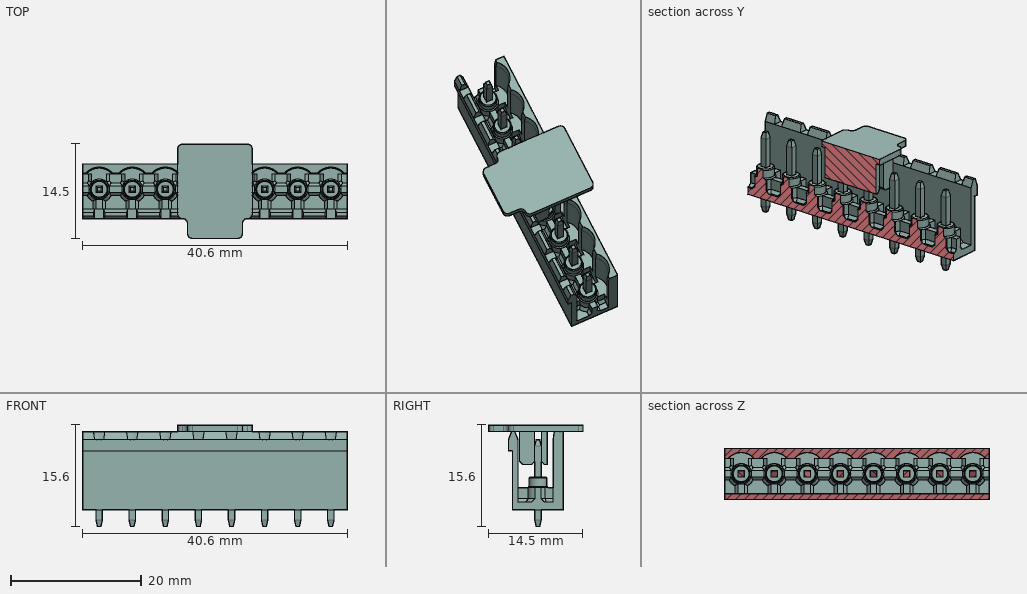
import cadquery as cq


PIN_COUNT = 8
LENGTH = 40.65
PITCH = LENGTH / PIN_COUNT
PIN_XS = [(i - (PIN_COUNT - 1) / 2) * PITCH for i in range(PIN_COUNT)]

PIN_WIDTH = 1.0
PIN_TIP_WIDTH = 0.55
PIN_TAPER = 0.98
PIN_BOTTOM = -2.55
PIN_TOP = 10.75

HEIGHT = 12.0
BACK_Y = 3.9
BACK_INNER_Y = 2.3
FRONT_INNER_Y = -3.05
FRONT_Y = -3.95
FLOOR_Z = 1.2
LEDGE_Y = -4.55
LEDGE_BOTTOM = 9.05
LEAD_IN_HEIGHT = 1.2
LEAD_IN_Z = HEIGHT - LEAD_IN_HEIGHT
BACK_LEAD_IN = 0.15
FRONT_LEAD_IN = 0.5
LEDGE_CHAMFER = 0.5

SCALLOP_Y = 0.65
SCALLOP_RADIUS = 2.6
NOTCH_BOTTOM_WIDTH = 1.4
NOTCH_TOP_WIDTH = 1.75

RIB_TOP = 3.4
RIB_WIDTH = 0.98
BACK_BLOCK_WIDTH = 2.28
FOOT_CHAMFER = 0.5
BOSS_RADIUS = 1.6
COLLAR_RADIUS = 1.4
COLLAR_TOP = 5.05
COLLAR_CHAMFER = 0.15
COLLAR_FLARE = BOSS_RADIUS - COLLAR_RADIUS

PLATE_THICKNESS = 1.0
PLATE_WIDTH = 11.45
PLATE_BACK_Y = 6.95
PLATE_SHOULDER_Y = -4.5
TONGUE_FRONT_Y = -7.55
TONGUE_WIDTH = 8.45
PLATE_RADIUS = (PLATE_WIDTH - TONGUE_WIDTH) / 4
LEG_LENGTH = 2 * PITCH
LEG_DEPTH = 5.05
LEG_CHAMFER = 0.5
LEG_GAP = PIN_WIDTH
REAR_LEG_Y = 1.45
FRONT_LEG_Y = -2.85


def trough():
    """U-shaped housing section with lead-ins along both top edges and a ledge along the front."""
    section = [
        (BACK_Y, 0),
        (BACK_Y, HEIGHT),
        (BACK_INNER_Y + BACK_LEAD_IN, HEIGHT),
        (BACK_INNER_Y, LEAD_IN_Z),
        (BACK_INNER_Y, FLOOR_Z),
        (FRONT_INNER_Y, FLOOR_Z),
        (FRONT_INNER_Y, LEAD_IN_Z),
        (FRONT_INNER_Y - FRONT_LEAD_IN, HEIGHT),
        (LEDGE_Y + LEDGE_CHAMFER, HEIGHT),
        (LEDGE_Y, LEAD_IN_Z),
        (LEDGE_Y, LEDGE_BOTTOM),
        (FRONT_Y, LEDGE_BOTTOM),
        (FRONT_Y, 0),
    ]
    return cq.Workplane("YZ").polyline(section).close().extrude(LENGTH / 2, both=True)


def revolved(profile, x, y):
    """Solid of revolution about an upright axis at (x, y), from (radius, height) points."""
    solid = cq.Workplane("XZ").polyline(profile).close().revolve(360, (0, 0), (0, 1))
    return solid.translate((x, y, 0))


def scallop(x):
    """Cutter for the round pocket in the back wall, widening at the lead-in."""
    profile = [
        (0, RIB_TOP),
        (SCALLOP_RADIUS, RIB_TOP),
        (SCALLOP_RADIUS, LEAD_IN_Z),
        (SCALLOP_RADIUS + BACK_LEAD_IN, HEIGHT),
        (0, HEIGHT),
    ]
    return revolved(profile, x, SCALLOP_Y)


def notch(x):
    """Cutter for the notch through the top of the front wall, wider at its top."""
    section = [
        (x - NOTCH_BOTTOM_WIDTH / 2, LEAD_IN_Z),
        (x + NOTCH_BOTTOM_WIDTH / 2, LEAD_IN_Z),
        (x + NOTCH_TOP_WIDTH / 2, HEIGHT),
        (x - NOTCH_TOP_WIDTH / 2, HEIGHT),
    ]
    return cq.Workplane("XZ").polyline(section).close().extrude(-LEDGE_Y)


def rib_section(plane, width):
    """Upright rib section whose foot widens onto the floor."""
    half = width / 2
    section = [
        (-half - FOOT_CHAMFER, FLOOR_Z),
        (-half, FLOOR_Z + FOOT_CHAMFER),
        (-half, RIB_TOP),
        (half, RIB_TOP),
        (half, FLOOR_Z + FOOT_CHAMFER),
        (half + FOOT_CHAMFER, FLOOR_Z),
    ]
    return cq.Workplane(plane).polyline(section).close()


def boss(x):
    """Round boss and collar around a pin, with a flared foot."""
    profile = [
        (0, FLOOR_Z),
        (BOSS_RADIUS + FOOT_CHAMFER, FLOOR_Z),
        (BOSS_RADIUS, FLOOR_Z + FOOT_CHAMFER),
        (BOSS_RADIUS, RIB_TOP),
        (COLLAR_RADIUS, RIB_TOP + COLLAR_FLARE),
        (COLLAR_RADIUS, COLLAR_TOP - COLLAR_CHAMFER),
        (COLLAR_RADIUS - COLLAR_CHAMFER, COLLAR_TOP),
        (0, COLLAR_TOP),
    ]
    return revolved(profile, x, 0)


def make_housing():
    body = trough()
    for x in PIN_XS:
        body = body.cut(scallop(x)).cut(notch(x))

    body = body.union(rib_section("YZ", RIB_WIDTH).extrude(LENGTH / 2, both=True))
    front_rib = rib_section("XZ", RIB_WIDTH).extrude(-FRONT_INNER_Y)
    back_block = rib_section("XZ", BACK_BLOCK_WIDTH).extrude(-BACK_INNER_Y)
    for x in PIN_XS:
        body = body.union(front_rib.translate((x, 0, 0)))
        body = body.union(back_block.translate((x, 0, 0)))
        body = body.union(boss(x))

    pin_places = cq.Workplane("XY").pushPoints([(x, 0) for x in PIN_XS])
    return body.cut(pin_places.rect(PIN_WIDTH, PIN_WIDTH).extrude(COLLAR_TOP))


def pin_section(x, bottom_z, bottom_width, top_z, top_width):
    """Length of square pin that changes evenly from one width to another."""
    bottom = cq.Workplane("XY", origin=(x, 0, bottom_z)).rect(bottom_width, bottom_width)
    return bottom.workplane(offset=top_z - bottom_z).rect(top_width, top_width).loft(ruled=True)


def make_pin(x):
    """Square pin with a tapered tip at each end."""
    shank_bottom = PIN_BOTTOM + PIN_TAPER
    shank_top = PIN_TOP - PIN_TAPER
    bottom_tip = pin_section(x, PIN_BOTTOM, PIN_TIP_WIDTH, shank_bottom, PIN_WIDTH)
    shank = pin_section(x, shank_bottom, PIN_WIDTH, shank_top, PIN_WIDTH)
    top_tip = pin_section(x, shank_top, PIN_WIDTH, PIN_TOP, PIN_TIP_WIDTH)
    return shank.union(bottom_tip).union(top_tip)


def plate_outline():
    """Plate outline with rounded corners and S-shaped shoulders down to the narrower tongue."""
    r = PLATE_RADIUS
    plate_x = PLATE_WIDTH / 2
    tongue_x = TONGUE_WIDTH / 2
    return (
        cq.Workplane("XY", origin=(0, 0, HEIGHT))
        .moveTo(plate_x - r, PLATE_BACK_Y)
        .radiusArc((plate_x, PLATE_BACK_Y - r), r)
        .lineTo(plate_x, PLATE_SHOULDER_Y + r)
        .radiusArc((plate_x - r, PLATE_SHOULDER_Y), r)
        .radiusArc((tongue_x, PLATE_SHOULDER_Y - r), -r)
        .lineTo(tongue_x, TONGUE_FRONT_Y + r)
        .radiusArc((tongue_x - r, TONGUE_FRONT_Y), r)
        .lineTo(r - tongue_x, TONGUE_FRONT_Y)
        .radiusArc((-tongue_x, TONGUE_FRONT_Y + r), r)
        .lineTo(-tongue_x, PLATE_SHOULDER_Y - r)
        .radiusArc((r - plate_x, PLATE_SHOULDER_Y), -r)
        .radiusArc((-plate_x, PLATE_SHOULDER_Y + r), r)
        .lineTo(-plate_x, PLATE_BACK_Y - r)
        .radiusArc((r - plate_x, PLATE_BACK_Y), r)
        .close()
    )


def cover_leg(y_min, y_max, chamfered_edges):
    """Wall hanging from the plate beside the middle pins, with chamfers along its lower edges."""
    leg = cq.Workplane("XY", origin=(0, (y_min + y_max) / 2, HEIGHT)).rect(LEG_LENGTH, y_max - y_min)
    return leg.extrude(-LEG_DEPTH).faces("<Z").edges(chamfered_edges).chamfer(LEG_CHAMFER)


def make_cover():
    """Pick-up plate with two legs that straddle the middle pins."""
    plate = plate_outline().extrude(PLATE_THICKNESS)
    rear_leg = cover_leg(LEG_GAP / 2, REAR_LEG_Y, "<Y")
    front_leg = cover_leg(FRONT_LEG_Y, -LEG_GAP / 2, "|X")
    return plate.union(rear_leg).union(front_leg)


housing = make_housing()
pins = [make_pin(x) for x in PIN_XS]
cover = make_cover()

result = cq.Compound.makeCompound([housing.val(), *[pin.val() for pin in pins], cover.val()])